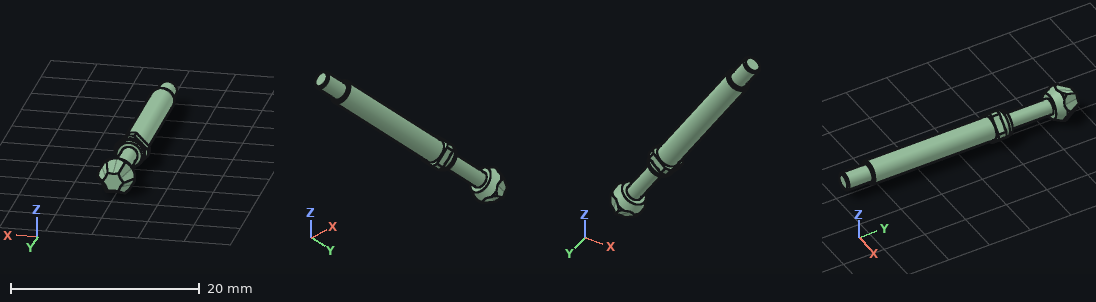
import cadquery as cq
import math

total_length = 28.3
crown_rim_start = 1.45
head_taper_start = 1.92
head_end = 3.0
collar_start = 8.3
flange_start = 9.3
flange_length = 0.95
barrel_end = 25.3

head_radius = 4.0 / 2
head_rear_radius = 2.95 / 2
neck_radius = 1.8 / 2
collar_radius = 3.03 / 2
barrel_radius = 2.7 / 2
pin_radius = 2.0 / 2

collar_nose_length = 0.42
collar_nose_depth = 0.15
barrel_chamfer = 0.15
pin_chamfer = 0.17

flange_corner_radius = 3.65 / 2
flange_across_flats = 2 * collar_radius

ridge_count = 6
ridge_half_angle = 30.0
valley_to_ridge = 0.8

tip_y = total_length / 2


def turned_profile():
    """Half section of the turned body as (radius, distance from the crown tip)."""
    return [
        (0, 0),
        (head_radius, 0),
        (head_radius, head_taper_start),
        (head_rear_radius, head_end),
        (neck_radius, head_end),
        (neck_radius, collar_start),
        (collar_radius - collar_nose_depth, collar_start),
        (collar_radius, collar_start + collar_nose_length),
        (collar_radius, flange_start),
        (barrel_radius, flange_start),
        (barrel_radius, barrel_end - barrel_chamfer),
        (barrel_radius - barrel_chamfer, barrel_end),
        (pin_radius, barrel_end),
        (pin_radius, total_length - pin_chamfer),
        (pin_radius - pin_chamfer, total_length),
        (0, total_length),
    ]


def turned_body():
    points = [(radius, tip_y - distance) for radius, distance in turned_profile()]
    return cq.Workplane("XY").polyline(points).close().revolve(360, (0, 0), (0, 1))


def plane_at(distance):
    """Cross-section plane facing the pin end, at a distance from the crown tip."""
    return cq.Workplane("XZ", origin=(0, tip_y - distance, 0))


def star_points(ridge_radius):
    """Star outline with ridges on the X axis and alternating valleys."""
    points = []
    for index in range(2 * ridge_count):
        radius = ridge_radius if index % 2 == 0 else ridge_radius * valley_to_ridge
        angle = math.pi * index / ridge_count
        points.append((radius * math.cos(angle), radius * math.sin(angle)))
    return points


def crown_envelope():
    """Star pyramid that the head is trimmed to, grown until it clears the head."""
    slope = math.tan(math.radians(ridge_half_angle))
    tip_ridge_radius = head_radius - crown_rim_start * slope
    end_ridge_radius = tip_ridge_radius + head_end * slope
    return (
        plane_at(0)
        .polyline(star_points(tip_ridge_radius)).close()
        .workplane(offset=head_end)
        .polyline(star_points(end_ridge_radius)).close()
        .loft(ruled=True)
    )


def crown_waste():
    """Material around the crown that the star pyramid leaves outside."""
    blank = plane_at(0).circle(2 * head_radius).extrude(head_end)
    return blank.cut(crown_envelope())


def square_flange():
    square = (
        plane_at(flange_start)
        .transformed(rotate=(0, 0, 45))
        .rect(flange_across_flats, flange_across_flats)
        .extrude(flange_length)
    )
    corner_round = plane_at(flange_start).circle(flange_corner_radius).extrude(flange_length)
    return square.intersect(corner_round)


result = turned_body().cut(crown_waste()).union(square_flange())